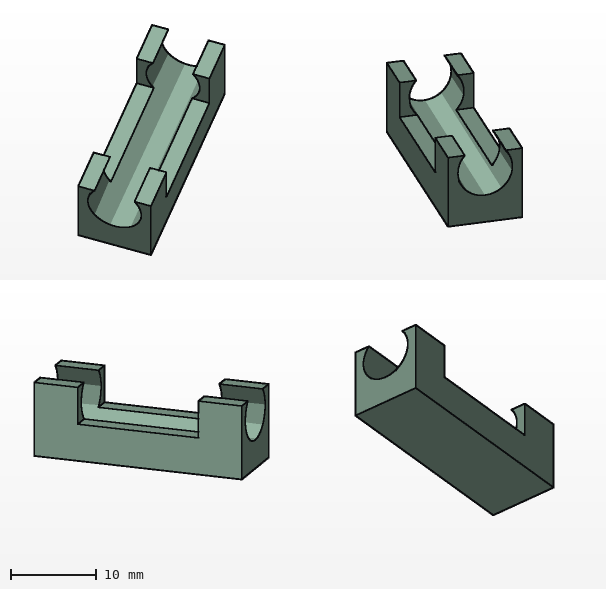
import cadquery as cq

length = 25.8
width = 9.0
height = width
gap_length = 15.0
saddle_height = height / 2
bore_diameter = 6.6
bore_depth = 2.2

block = cq.Workplane("XY").box(width, length, height, centered=(True, True, False))

gap = (
    cq.Workplane("XY")
    .workplane(offset=saddle_height)
    .box(width, gap_length, height - saddle_height, centered=(True, True, False))
)

bore = (
    cq.Workplane("XZ")
    .center(0, height - bore_depth)
    .circle(bore_diameter / 2)
    .extrude(length / 2, both=True)
)

result = block.cut(gap).cut(bore)